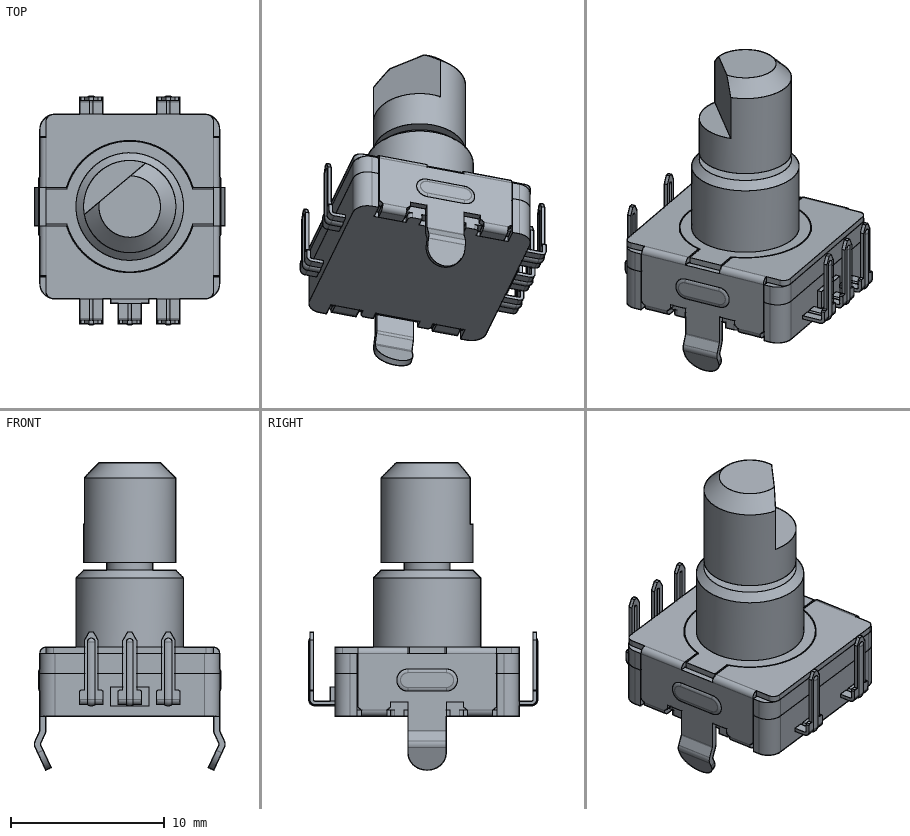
import cadquery as cq
import math


BODY_X = 11.7
BODY_Y = 12.0
BODY_CORNER_R = 1.0
BASE_H = 2.8
BODY_H = 4.5
HALF_X = BODY_X / 2
HALF_Y = BODY_Y / 2

SHEET = 0.4
BEND_R = 0.1
WALL_W = 9.0
WALL_GAP = 0.05
PLATE_CORNER_R = 0.5
LEDGE_Z = BODY_H - SHEET
WALL_INNER_X = HALF_X - SHEET
HALF_WALL = WALL_W / 2

CUTOUT_R = 4.3
DISC_GAP = 0.05
DISC_R = CUTOUT_R - DISC_GAP
LEG_W = 2.5
EAR_GAP = 0.1
EAR_W = LEG_W - 2 * EAR_GAP

BUSHING_D = 7.0
BUSHING_TOP = 9.5
BUSHING_CHAMFER = 0.5
SHAFT_D = 6.0
NECK_D = 3.0
SHAFT_BOTTOM = 10.0
SHAFT_TOP = 16.5
SHAFT_CHAMFER = 1.0
FLAT_OFFSET = 1.5
FLAT_DEPTH = 4.0
FLAT_ANGLE = 130.0

OVAL_FLAT_W = 0.95
OVAL_FLAT_L = LEG_W + OVAL_FLAT_W
OVAL_H = 0.08
OVAL_Z = 2.35

NOTCH_Z = 0.92
NOTCH_Y = 2.38
TAB_Y_IN = 2.62
TAB_Y_OUT = 4.25
TAB_RELIEF_Z = 0.6
TAB_FOLD = 0.6

POST_CORNER_R = 0.25
LEG_RECESS_W = 3.0

LEG_BEND_Z = -0.92
LEG_TIP_Z = -3.5
LEG_KNEE_X = 6.2
LEG_ANGLE = math.radians(25.0)

PIN_PITCH = 2.5
PIN_T = 0.25
PIN_TOP = 5.48
PIN_FOOT_TOP = 1.0
PIN_SHOULDER_Z = 1.72
PIN_SHOULDER_CHAMFER = 0.08
PIN_TIP_W = 0.28
PIN_TIP_ANGLE = math.radians(30.0)
BEAD_H = 0.08
BEAD_END_Z = 4.85
GROOVE_W = 0.25
FRONT_PIN_Y = 7.62
REAR_PIN_Y = 7.12
OUTER_PIN = dict(foot_w=1.5, blade_w=0.85, bead_w=0.5)
MIDDLE_PIN = dict(foot_w=1.52, blade_w=0.92, bead_w=0.45)

BLOCK_W = PIN_PITCH
BLOCK_BOTTOM = 0.65
BLOCK_TOP = 1.92
BLOCK_DEPTH = 0.3


def box(x0, x1, y0, y1, z0, z1):
    """Box between two opposite corners."""
    return cq.Workplane("XY").box(x1 - x0, y1 - y0, z1 - z0, centered=False).translate((x0, y0, z0))


def both_sides_x(shape):
    """The shape together with its mirror image across the YZ plane."""
    return shape.union(shape.mirror("YZ"))


def both_sides_y(shape):
    """The shape together with its mirror image across the XZ plane."""
    return shape.union(shape.mirror("XZ"))


def body_block(bottom, top):
    """Rounded block, set back on both X sides to take the cover walls."""
    block = (
        cq.Workplane("XY").workplane(offset=bottom)
        .rect(BODY_X, BODY_Y).extrude(top - bottom)
        .edges("|Z").fillet(BODY_CORNER_R)
    )
    half_pocket = HALF_WALL + WALL_GAP
    pocket = box(WALL_INNER_X, HALF_X, -half_pocket, half_pocket, bottom, top)
    return block.cut(both_sides_x(pocket))


def tab_recess():
    """Recess over the +X, +Y tab; the post beside it keeps a rounded outer corner."""
    deep_x = WALL_INNER_X - TAB_FOLD
    round_x = WALL_INNER_X - POST_CORNER_R
    round_y = NOTCH_Y - POST_CORNER_R
    far_y = HALF_WALL + WALL_GAP
    return (
        cq.Workplane("XY")
        .moveTo(deep_x, NOTCH_Y)
        .lineTo(round_x, NOTCH_Y)
        .radiusArc((WALL_INNER_X, round_y), POST_CORNER_R)
        .lineTo(WALL_INNER_X, far_y)
        .lineTo(deep_x, far_y)
        .close().extrude(SHEET)
    )


def make_base():
    base = body_block(0, BASE_H)
    block = box(-BLOCK_W / 2, BLOCK_W / 2, -HALF_Y - BLOCK_DEPTH, -HALF_Y, BLOCK_BOTTOM, BLOCK_TOP)
    leg_recess = box(
        WALL_INNER_X - TAB_FOLD, WALL_INNER_X, -LEG_RECESS_W / 2, LEG_RECESS_W / 2, 0, SHEET
    )
    recesses = both_sides_y(tab_recess()).union(leg_recess)
    return base.union(block).cut(both_sides_x(recesses))


def make_case():
    case = body_block(BASE_H, LEDGE_Z)
    disc = cq.Workplane("XY").workplane(offset=LEDGE_Z).circle(DISC_R).extrude(SHEET)
    ears = box(-WALL_INNER_X, WALL_INNER_X, -EAR_W / 2, EAR_W / 2, LEDGE_Z, BODY_H)
    bushing = (
        cq.Workplane("XY").workplane(offset=LEDGE_Z)
        .circle(BUSHING_D / 2).extrude(BUSHING_TOP - LEDGE_Z)
        .faces(">Z").chamfer(BUSHING_CHAMFER)
    )
    bore = cq.Workplane("XY").workplane(offset=BASE_H).circle(NECK_D / 2).extrude(BUSHING_TOP - BASE_H)
    return case.union(disc).union(ears).union(bushing).cut(bore)


def make_shaft():
    neck = cq.Workplane("XY").workplane(offset=BASE_H).circle(NECK_D / 2).extrude(SHAFT_BOTTOM - BASE_H)
    head = (
        cq.Workplane("XY").workplane(offset=SHAFT_BOTTOM)
        .circle(SHAFT_D / 2).extrude(SHAFT_TOP - SHAFT_BOTTOM)
        .faces(">Z").chamfer(SHAFT_CHAMFER)
    )
    flat = box(FLAT_OFFSET, SHAFT_D, -SHAFT_D, SHAFT_D, SHAFT_TOP - FLAT_DEPTH, SHAFT_TOP)
    flat = flat.rotate((0, 0, 0), (0, 0, 1), FLAT_ANGLE)
    return neck.union(head).cut(flat)


def quarter_bend(z, direction, y0, y1):
    """Quarter-round fold at the +X wall, sharp inside; direction is +1 for up, -1 for down."""
    diagonal = SHEET / math.sqrt(2)
    return (
        cq.Workplane("XZ", origin=(WALL_INNER_X, y1, z))
        .moveTo(0, 0).lineTo(SHEET, 0)
        .threePointArc((diagonal, direction * diagonal), (0, direction * SHEET))
        .close().extrude(y1 - y0)
    )


def cover_plate():
    """Top plate with the keyhole cutout for the disc and ears of the case."""
    plate = (
        cq.Workplane("XY").workplane(offset=LEDGE_Z)
        .rect(2 * WALL_INNER_X, BODY_Y).extrude(SHEET)
        .edges("|Z").fillet(PLATE_CORNER_R)
    )
    hole = cq.Workplane("XY").workplane(offset=LEDGE_Z).circle(CUTOUT_R).extrude(SHEET)
    slot = box(-WALL_INNER_X, WALL_INNER_X, -LEG_W / 2, LEG_W / 2, LEDGE_Z, BODY_H)
    return plate.cut(hole).cut(slot)


def cover_wall():
    """+X wall with its folds at the top and its tabs at the bottom."""
    half_wall = (
        cq.Workplane("YZ", origin=(WALL_INNER_X, 0, 0))
        .polyline([
            (0, LEDGE_Z),
            (HALF_WALL, LEDGE_Z),
            (HALF_WALL, TAB_RELIEF_Z),
            (TAB_Y_OUT, SHEET),
            (TAB_Y_IN, SHEET),
            (NOTCH_Y, TAB_RELIEF_Z),
            (NOTCH_Y, NOTCH_Z),
            (0, NOTCH_Z),
        ])
        .close().extrude(SHEET)
    )
    half_wall = half_wall.union(quarter_bend(LEDGE_Z, 1, LEG_W / 2, HALF_WALL))
    half_wall = half_wall.union(quarter_bend(SHEET, -1, TAB_Y_IN, TAB_Y_OUT))
    half_wall = half_wall.union(
        box(WALL_INNER_X - TAB_FOLD, WALL_INNER_X, TAB_Y_IN, TAB_Y_OUT, 0, SHEET)
    )
    return both_sides_y(half_wall)


def cover_oval():
    """Raised oval on the +X wall; its rounded rim sinks into the wall."""
    return (
        cq.Workplane("YZ", origin=(WALL_INNER_X, 0, OVAL_Z))
        .slot2D(OVAL_FLAT_L + 2 * SHEET, OVAL_FLAT_W + 2 * SHEET).extrude(SHEET + OVAL_H)
        .faces(">X").edges().fillet(SHEET)
    )


def cover_leg():
    """+X leg: straight, kinked outward, then inward to a round tip."""
    sin_a = math.sin(LEG_ANGLE)
    cos_a = math.cos(LEG_ANGLE)
    outer_r = BEND_R + SHEET

    def around(center, radius, angle):
        """Point at the given radius and angle from a bend's centre."""
        return (center[0] + radius * math.cos(angle), center[1] + radius * math.sin(angle))

    bend = (HALF_X + BEND_R, LEG_BEND_Z)
    knee_x = LEG_KNEE_X - outer_r
    run = (knee_x - bend[0] + (BEND_R + outer_r) * cos_a) / sin_a
    knee = (knee_x, LEG_BEND_Z - (BEND_R + outer_r) * sin_a - run * cos_a)
    knee_lower = around(knee, outer_r, -LEG_ANGLE)
    bend_middle = math.pi + LEG_ANGLE / 2
    bend_end = math.pi + LEG_ANGLE

    upper = (
        cq.Workplane("XZ", origin=(0, LEG_W / 2, 0))
        .moveTo(HALF_X, NOTCH_Z)
        .lineTo(HALF_X, LEG_BEND_Z)
        .threePointArc(around(bend, BEND_R, bend_middle), around(bend, BEND_R, bend_end))
        .lineTo(*around(knee, outer_r, LEG_ANGLE))
        .threePointArc(around(knee, outer_r, 0), knee_lower)
        .lineTo(*around(knee, BEND_R, -LEG_ANGLE))
        .threePointArc(around(knee, BEND_R, 0), around(knee, BEND_R, LEG_ANGLE))
        .lineTo(*around(bend, outer_r, bend_end))
        .threePointArc(around(bend, outer_r, bend_middle), (WALL_INNER_X, LEG_BEND_Z))
        .lineTo(WALL_INNER_X, NOTCH_Z)
        .close().extrude(LEG_W)
    )

    tip_length = (knee_lower[1] - LEG_TIP_Z) / cos_a
    straight = tip_length - LEG_W / 2
    lower_plane = cq.Plane(
        origin=(knee_lower[0], 0, knee_lower[1]), xDir=(0, 1, 0), normal=(-cos_a, 0, sin_a)
    )
    lower = (
        cq.Workplane(lower_plane)
        .moveTo(-LEG_W / 2, 0)
        .lineTo(LEG_W / 2, 0)
        .lineTo(LEG_W / 2, straight)
        .threePointArc((0, tip_length), (-LEG_W / 2, straight))
        .close().extrude(SHEET)
    )
    return upper.union(lower)


def make_cover():
    side = cover_wall().union(cover_oval()).union(cover_leg())
    return cover_plate().union(both_sides_x(side))


def pin_strip(root_y, face_y, width):
    """Plain bent strip: out along +Y from the root, round the bend and up."""
    outer_r = BEND_R + PIN_T
    bottom = PIN_FOOT_TOP - PIN_T
    inner_y = face_y - PIN_T
    return (
        cq.Workplane("YZ", origin=(-width / 2, 0, 0))
        .moveTo(root_y, bottom)
        .lineTo(face_y - outer_r, bottom)
        .radiusArc((face_y, bottom + outer_r), -outer_r)
        .lineTo(face_y, PIN_TOP)
        .lineTo(inner_y, PIN_TOP)
        .lineTo(inner_y, PIN_FOOT_TOP + BEND_R)
        .radiusArc((inner_y - BEND_R, PIN_FOOT_TOP), BEND_R)
        .lineTo(root_y, PIN_FOOT_TOP)
        .close().extrude(width)
    )


def pin_outline(foot_w, blade_w, face_y):
    """Prism along Y with the pin's face shape: wide foot, narrow blade, tapered tip."""
    foot = foot_w / 2
    blade = blade_w / 2
    tip = PIN_TIP_W / 2
    taper_z = PIN_TOP - (blade - tip) / math.tan(PIN_TIP_ANGLE)
    right_edge = [
        (foot, 0),
        (foot, PIN_SHOULDER_Z - PIN_SHOULDER_CHAMFER),
        (foot - PIN_SHOULDER_CHAMFER, PIN_SHOULDER_Z),
        (blade, PIN_SHOULDER_Z),
        (blade, taper_z),
        (tip, PIN_TOP),
    ]
    left_edge = [(-x, z) for x, z in reversed(right_edge)]
    return cq.Workplane("XZ").polyline(right_edge + left_edge).close().extrude(-face_y)


def pin_ridge(root_y, face_y, inset, width):
    """Shallow round ridge with a domed end, along a surface inset from the strip's outer face."""
    surface_y = face_y - inset
    bottom = PIN_FOOT_TOP - PIN_T + inset
    bend_r = BEND_R + PIN_T - inset
    path = (
        cq.Workplane("YZ")
        .moveTo(root_y, bottom)
        .lineTo(surface_y - bend_r, bottom)
        .radiusArc((surface_y, bottom + bend_r), -bend_r)
        .lineTo(surface_y, BEAD_END_Z)
    )
    ridge = (
        cq.Workplane("XZ", origin=(0, root_y, bottom))
        .moveTo(-width / 2, 0)
        .threePointArc((0, -BEAD_H), (width / 2, 0))
        .close().sweep(path)
    )
    dome_r = ((width / 2) ** 2 + BEAD_H ** 2) / (2 * BEAD_H)
    dome = (
        cq.Workplane("XY", origin=(0, surface_y, BEAD_END_Z))
        .moveTo(0, 0)
        .lineTo(width / 2, 0)
        .radiusArc((0, BEAD_H), -dome_r)
        .close().revolve(360, (0, 0, 0), (0, 1, 0))
    )
    return ridge.union(dome)


def make_pin(root_y, face_y, foot_w, blade_w, bead_w):
    """Pin on the +Y side at X = 0, with a bead outside and a groove inside."""
    pin = pin_strip(root_y, face_y, foot_w).intersect(pin_outline(foot_w, blade_w, face_y))
    bead = pin_ridge(root_y, face_y, 0, bead_w)
    groove = pin_ridge(root_y, face_y, PIN_T, GROOVE_W)
    return pin.union(bead).cut(groove)


base = make_base()
case = make_case()
shaft = make_shaft()
cover = make_cover()

pins = []
for x in (-PIN_PITCH, PIN_PITCH):
    rear_pin = make_pin(HALF_Y, REAR_PIN_Y, **OUTER_PIN)
    front_pin = make_pin(HALF_Y, FRONT_PIN_Y, **OUTER_PIN).mirror("XZ")
    pins.append(rear_pin.translate((x, 0, 0)))
    pins.append(front_pin.translate((x, 0, 0)))
pins.append(make_pin(HALF_Y + BLOCK_DEPTH, FRONT_PIN_Y, **MIDDLE_PIN).mirror("XZ"))

result = cq.Compound.makeCompound([
    base.val(),
    case.val(),
    cover.val(),
    shaft.val(),
    *[pin.val() for pin in pins],
])